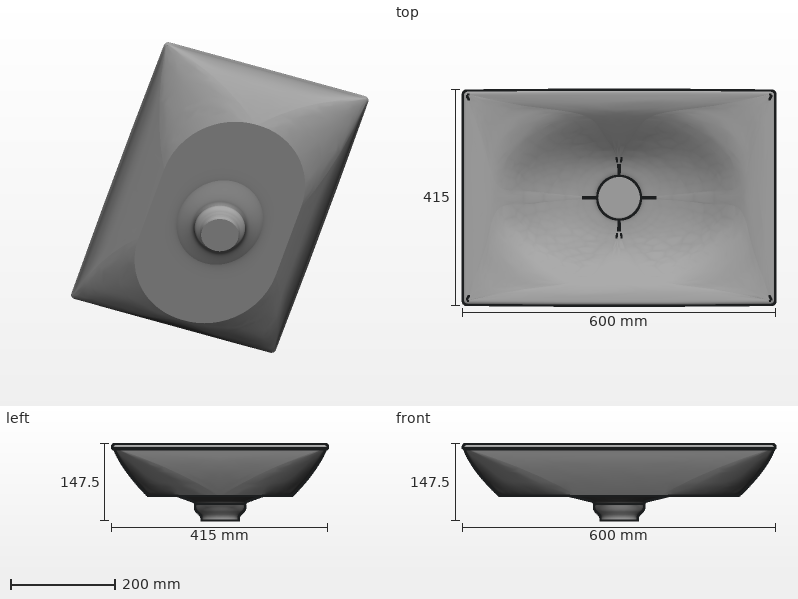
import cadquery as cq


LENGTH = 600.0
WIDTH = 415.0
RIM_HEIGHT = 11.0
RIM_CORNER = 9.0
RIM_ROUND = 7.0
RIM_LAND = RIM_ROUND + 0.5
RIM_UNDERCUT = 3.0
LONG_SIDE_BOW = 2.0
HALF_LENGTH = LENGTH / 2
HALF_WIDTH = WIDTH / 2
CORNER_HALF_WIDTH = HALF_WIDTH - LONG_SIDE_BOW

CAP_RADIUS = 42.0
CAP_TOP_Z = -90.5
CAP_THICKNESS = 9.5
CAP_ROUND = 3.5

BASE_Z = -100.0
SKIN_SECTIONS = [
    (-RIM_HEIGHT, HALF_LENGTH - RIM_UNDERCUT, CORNER_HALF_WIDTH - RIM_UNDERCUT, 7.0, 7.0),
    (-52.0, 273.0, 179.0, 96.0, 88.0),
    (BASE_Z, 229.0, 138.0, 149.5, 135.0),
]

FLOOR_HALF_SIZE = CAP_RADIUS - 1.0
BOWL_SECTIONS = [
    (0.0, HALF_LENGTH - RIM_LAND, CORNER_HALF_WIDTH - RIM_LAND, 3.0, 3.0),
    (-0.5, 282.0, 191.0, 24.0, 21.0),
    (-2.5, 270.0, 182.0, 54.0, 45.0),
    (-7.0, 253.0, 171.0, 108.0, 87.0),
    (-17.0, 233.5, 156.5, 168.0, 132.0),
    (-50.5, 183.0, 121.0, 153.0, 108.0),
    (-71.0, 144.0, 100.0, 129.0, 91.0),
    (-86.5, 102.0, 80.5, 96.0, 75.0),
    (-94.0, 69.5, 62.5, 67.0, 60.0),
    (-98.0, FLOOR_HALF_SIZE, FLOOR_HALF_SIZE, 39.5, 39.5),
]

BULGE_HALF_LENGTH = 95.5
BULGE_HALF_WIDTH = 81.5
BULGE_BOTTOM_RADIUS = 53.5
BULGE_BOTTOM_Z = -110.5

OUTLET_Z = -147.5
NECK_MIDDLE = (50.0, -112.0)
NECK_END = (48.0, -115.0)
SHOULDER = (48.5, -121.0)
BELLY_MIDDLE = (47.0, -127.0)
BELLY_END = (42.5, -132.0)
CONE_END = (38.5, -136.0)
PIPE_FLARE_MIDDLE = (36.5, -139.0)
PIPE_TOP = (36.0, -142.0)
PIPE_RADIUS = PIPE_TOP[0]


def section(z, half_x, half_y, corner_x, corner_y):
    """Closed outline of four straight sides joined by quarter-ellipse corners."""
    flat_x = half_x - corner_x
    flat_y = half_y - corner_y

    def side(x0, y0, x1, y1):
        return cq.Edge.makeLine(cq.Vector(x0, y0, z), cq.Vector(x1, y1, z))

    def corner(x, y, start):
        centre = cq.Vector(x, y, z)
        return cq.Edge.makeEllipse(corner_x, corner_y, centre, angle1=start, angle2=start + 90)

    return cq.Wire.assembleEdges([
        side(half_x, -flat_y, half_x, flat_y),
        corner(flat_x, flat_y, 0),
        side(flat_x, half_y, -flat_x, half_y),
        corner(-flat_x, flat_y, 90),
        side(-half_x, flat_y, -half_x, -flat_y),
        corner(-flat_x, -flat_y, 180),
        side(-flat_x, -half_y, flat_x, -half_y),
        corner(flat_x, -flat_y, 270),
    ])


def smooth_loft(sections):
    """Solid with a smooth skin through a stack of sections."""
    return cq.Workplane(obj=cq.Solid.makeLoft([section(*sizes) for sizes in sections]))


def make_rim():
    """Rim slab with slightly bowed long sides, a rounded top edge and a bevelled lower edge."""
    slab = (
        cq.Workplane("XY")
        .workplane(offset=-RIM_HEIGHT)
        .moveTo(HALF_LENGTH, -CORNER_HALF_WIDTH)
        .lineTo(HALF_LENGTH, CORNER_HALF_WIDTH)
        .threePointArc((0, HALF_WIDTH), (-HALF_LENGTH, CORNER_HALF_WIDTH))
        .lineTo(-HALF_LENGTH, -CORNER_HALF_WIDTH)
        .threePointArc((0, -HALF_WIDTH), (HALF_LENGTH, -CORNER_HALF_WIDTH))
        .close()
        .extrude(RIM_HEIGHT)
    )
    rounded = slab.edges("|Z").fillet(RIM_CORNER).faces(">Z").edges().fillet(RIM_ROUND)
    return rounded.faces("<Z").edges().chamfer(RIM_UNDERCUT)


def make_bulge():
    """Shallow oval dome below the flat base, narrowing to the round outlet."""
    return (
        cq.Workplane("XY")
        .workplane(offset=BASE_Z)
        .ellipse(BULGE_HALF_LENGTH, BULGE_HALF_WIDTH)
        .workplane(offset=BULGE_BOTTOM_Z - BASE_Z)
        .circle(BULGE_BOTTOM_RADIUS)
        .loft()
    )


def make_outlet():
    """Turned drain outlet: concave neck, rounded belly, short cone and straight pipe end."""
    return (
        cq.Workplane("XZ")
        .moveTo(0, BULGE_BOTTOM_Z)
        .lineTo(BULGE_BOTTOM_RADIUS, BULGE_BOTTOM_Z)
        .threePointArc(NECK_MIDDLE, NECK_END)
        .lineTo(*SHOULDER)
        .threePointArc(BELLY_MIDDLE, BELLY_END)
        .lineTo(*CONE_END)
        .threePointArc(PIPE_FLARE_MIDDLE, PIPE_TOP)
        .lineTo(PIPE_RADIUS, OUTLET_Z)
        .lineTo(0, OUTLET_Z)
        .close()
        .revolve(360, (0, 0), (0, 1))
    )


def make_cap_disc():
    """Plain disc of the cap, also the shape of its seat in the bowl floor."""
    seat_plane = cq.Workplane("XY").workplane(offset=CAP_TOP_Z - CAP_THICKNESS)
    return seat_plane.circle(CAP_RADIUS).extrude(CAP_THICKNESS)


def make_basin():
    """Basin body with its outlet, hollowed by the bowl and the cap seat."""
    body = smooth_loft(SKIN_SECTIONS).union(make_rim()).union(make_bulge()).union(make_outlet())
    return body.cut(smooth_loft(BOWL_SECTIONS)).cut(make_cap_disc())


def make_cap():
    """Drain cap with a rounded top edge."""
    return make_cap_disc().faces(">Z").edges().fillet(CAP_ROUND)


basin = make_basin()
cap = make_cap()
result = cq.Compound.makeCompound([basin.solids().val(), cap.solids().val()])